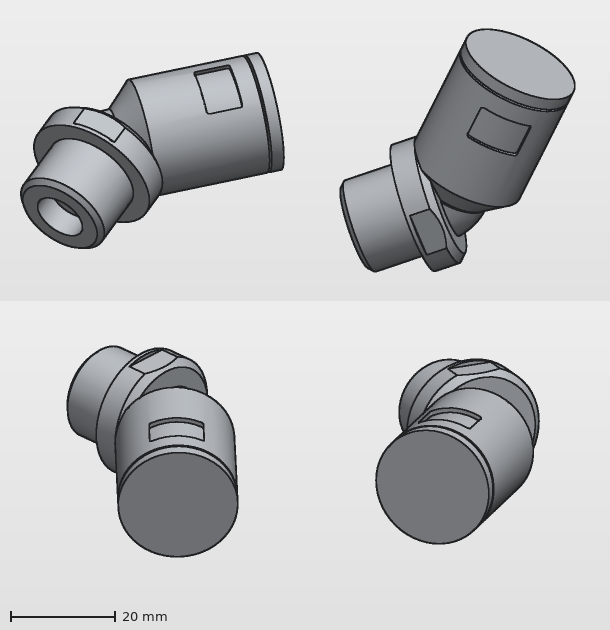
import cadquery as cq
import math

overall_length = 50.35

stud_diameter = 18.6
stud_length = 12.05
stud_chamfer = 1.0
bore_diameter = 10.0
bore_depth = 5.05

flange_diameter = 25.7
flange_thickness = 6.5
flange_chamfer = 1.5
flat_distance = 12.05
flat_lip = 0.9

neck_diameter = 14.2
neck_bend_radius = 6.05
neck_bend_x = 4.9
neck_bend_y = 16.1

socket_angle = 45.0
socket_axis_y = 20.45
cone_start = 0.45
socket_shoulder = 5.3
socket_diameter = 23.0
socket_end = (overall_length - socket_axis_y) * math.sqrt(2) - socket_diameter / 2
cone_end_radius = socket_diameter / 2 - (socket_shoulder - cone_start)
collar_thickness = 2.4
groove_width = 0.45
groove_diameter = 18.3

pocket_width = 10.45
pocket_length = 7.05
pocket_center = 20.75
pocket_depth = 0.9
pocket_corner_radius = 0.5


def cylinder_along_y(diameter, start, length):
    return cq.Workplane("XZ", origin=(0, start, 0)).circle(diameter / 2).extrude(-length)


def make_stud():
    return cylinder_along_y(stud_diameter, 0, stud_length).faces("<Y").chamfer(stud_chamfer)


def make_flange():
    flange = cylinder_along_y(flange_diameter, stud_length, flange_thickness)
    flange = flange.faces(">Y").chamfer(flange_chamfer)
    flat_start = stud_length + flat_lip
    for side in (1, -1):
        cutter = cq.Workplane("XY").box(
            flange_diameter, flange_thickness, flange_diameter, centered=(True, False, True)
        )
        cutter_z = side * (flat_distance + flange_diameter / 2)
        flange = flange.cut(cutter.translate((0, flat_start, cutter_z)))
    return flange


def make_neck():
    radius = neck_diameter / 2
    start_x = neck_bend_x - neck_bend_radius
    half_chord = math.sqrt(radius**2 - neck_bend_radius**2)
    profile = (
        cq.Workplane("XY")
        .moveTo(neck_bend_radius, half_chord)
        .threePointArc((-radius, 0), (neck_bend_radius, -half_chord))
        .close()
        .rotate((0, 0, 0), (1, 0, 0), 90)
        .translate((start_x, neck_bend_y, 0))
    )
    tube = cq.Solid.revolve(
        cq.Face.makeFromWires(profile.val()),
        socket_angle,
        cq.Vector(neck_bend_x, neck_bend_y, 0),
        cq.Vector(neck_bend_x, neck_bend_y, -0.5),
    )
    return cq.Workplane(tube)


def make_pocket_cutter():
    block = (
        cq.Workplane("XY")
        .rect(pocket_width, pocket_length)
        .extrude(socket_diameter, both=True)
        .edges("|Z")
        .fillet(pocket_corner_radius)
        .translate((0, pocket_center, 0))
    )
    core = cylinder_along_y(socket_diameter - 2 * pocket_depth, 0, socket_end)
    return block.cut(core)


def make_socket():
    radius = socket_diameter / 2
    groove_radius = groove_diameter / 2
    groove_end = socket_end - collar_thickness
    groove_start = groove_end - groove_width
    socket = (
        cq.Workplane("XY")
        .moveTo(0, cone_start)
        .lineTo(cone_end_radius, cone_start)
        .lineTo(radius, socket_shoulder)
        .lineTo(radius, groove_start)
        .lineTo(groove_radius, groove_start)
        .lineTo(groove_radius, groove_end)
        .lineTo(radius, groove_end)
        .lineTo(radius, socket_end)
        .lineTo(0, socket_end)
        .close()
        .revolve(360, (0, 0, 0), (0, 1, 0))
    )
    socket = socket.cut(make_pocket_cutter())
    socket = socket.rotate((0, 0, 0), (0, 0, 1), -socket_angle)
    return socket.translate((0, socket_axis_y, 0))


bore = cylinder_along_y(bore_diameter, 0, bore_depth)
result = make_stud().union(make_flange()).union(make_neck()).union(make_socket()).cut(bore)